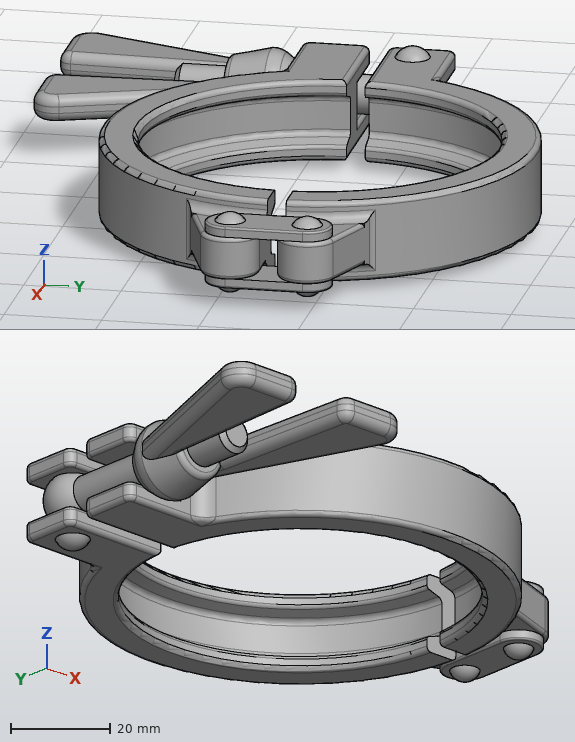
import cadquery as cq
import math


RING_OUTER_R = 44.5
BORE_R = 36.6
CLAMP_H = 17.0
HALF_H = CLAMP_H / 2
HALF_GAP = 1.9
RIM_FILLET = 1.1

GROOVE_R = 40.7
GROOVE_MOUTH_HALF = 5.3
GROOVE_ANGLE = 18
GROOVE_FLOOR_HALF = GROOVE_MOUTH_HALF - (GROOVE_R - BORE_R) * math.tan(math.radians(GROOVE_ANGLE))
GROOVE_FILLET = 1.4
LIP_FILLET = 0.8

EAR_X = -61.6
EAR_Y = 15.7
EAR_CORNER_R = 1.9
EAR_BLEND_R = 4.8
SLOT_HALF_H = 4.4
SLOT_EDGE_FILLET = 0.8

BOLT_X = -55.2
BOLT_D = 8.0
BOLT_END_Y = -40.5
BOLT_CHAMFER = 1.1
EYE_R = 6.0
EYE_CLEARANCE = 1.0
SLOT_END_X = BOLT_X + EYE_R + EYE_CLEARANCE
PIVOT_Y = 7.9
SHANK_D = 4.8
PIN_HEAD_D = 7.1
PIN_HEAD_H = 2.2

HINGE_X = 52.6
LUG_R = PIVOT_Y - HALF_GAP
LUG_HALF_H = 4.4
LUG_FILLET = 0.8
LUG_BLEND_R = 2.0
LUG_ROOT_X = 40.5
LUG_INNER_X = GROOVE_R - 1.4
LINK_R = 5.0
LINK_T = 2.0
LINK_FILLET = 0.4
RIVET_HEAD_D = 6.1
RIVET_UPPER_HEAD_H = 1.6
RIVET_LOWER_HEAD_H = 2.2

NUT_R = 8.3
NUT_END_R = 6.3
NUT_L = 14.2
NUT_CONE_START = 5.5
NUT_FACE_R = 5.6
NUT_NOSE_R = 7.5
NUT_NOSE_L = 2.6
NUT_END_FILLET = 1.4
WING_T = 5.5
WING_FILLET = 2.0
WING_TIP_Y = -66.0
WING_TOP_Y = -19.8
WING_OUTER_TOP = 7.7
WING_OUTER_TIP = 24.7
WING_INNER_TOP = 1.4
WING_INNER_EXIT = 4.8
WING_INNER_TIP = 6.1
WING_OUTER_CORNER_R = 4.4
WING_INNER_CORNER_R = 2.6

TOLERANCE = 0.01


def box(x0, x1, y0, y1, half_h):
    return cq.Workplane("XY").box(x1 - x0, y1 - y0, 2 * half_h, centered=False).translate((x0, y0, -half_h))


def cylinder(x, y, radius, half_h):
    return cq.Workplane("XY", origin=(x, y, 0)).circle(radius).extrude(half_h, both=True)


def near(x, y, z_half, reach=0.7):
    """Selector for edges centred close to (x, y) and no further than z_half from mid height."""
    return cq.selectors.BoxSelector((x - reach, y - reach, -z_half), (x + reach, y + reach, z_half))


def ring_and_ear():
    """Half ring with a solid ear: rims rounded, except where the ring ends at the hinge."""
    body = cylinder(0, 0, RING_OUTER_R, HALF_H).union(box(EAR_X, -BORE_R, 0, EAR_Y, HALF_H))
    body = body.cut(cylinder(0, 0, BORE_R, HALF_H))
    body = body.intersect(box(EAR_X, RING_OUTER_R, HALF_GAP, RING_OUTER_R, HALF_H))
    for corner_y in (HALF_GAP, EAR_Y):
        body = body.edges("|Z").edges(near(EAR_X, corner_y, HALF_H)).fillet(EAR_CORNER_R)
    rims = [
        edge for edge in body.faces("|Z").edges().vals()
        if edge.Center().x < BORE_R or edge.Center().y > HALF_GAP + RIM_FILLET
    ]
    body = body.newObject(rims).fillet(RIM_FILLET)
    blend_x = -math.sqrt(RING_OUTER_R**2 - EAR_Y**2)
    return body.edges("|Z").edges(near(blend_x, EAR_Y, HALF_H)).fillet(EAR_BLEND_R)


def groove_cutter():
    """Disc with tapered flanks, narrowing outwards."""
    profile = [
        (0, -GROOVE_MOUTH_HALF),
        (BORE_R, -GROOVE_MOUTH_HALF),
        (GROOVE_R, -GROOVE_FLOOR_HALF),
        (GROOVE_R, GROOVE_FLOOR_HALF),
        (BORE_R, GROOVE_MOUTH_HALF),
        (0, GROOVE_MOUTH_HALF),
    ]
    disc = cq.Workplane("XZ").polyline(profile).close().revolve(360, (0, 0, 0), (0, 1, 0))
    floor = cq.selectors.RadiusNthSelector(-1)
    return disc.edges("%CIRCLE").edges(floor).fillet(GROOVE_FILLET)


def cut_slot(body):
    """Slot for the eye bolt, open along the ear and at its outer end, with rounded rims."""
    body = body.cut(box(EAR_X, SLOT_END_X, 0, EAR_Y, SLOT_HALF_H))
    side_rims = [
        edge for edge in body.edges("not |Z").vals()
        if abs(abs(edge.Center().z) - SLOT_HALF_H) < TOLERANCE and edge.Center().x < SLOT_END_X - TOLERANCE
    ]
    end_rims = body.edges("|Z").edges(near(SLOT_END_X, EAR_Y, HALF_H)).vals()
    end_rims += body.edges("|Z").edges(near(SLOT_END_X, HALF_GAP, HALF_H)).vals()
    return body.newObject(side_rims + end_rims).fillet(SLOT_EDGE_FILLET)


def lug_outline(half_h):
    """Plate round one rivet, running back into the ring, of the given half height."""
    root_y = math.sqrt(RING_OUTER_R**2 - LUG_ROOT_X**2)
    dx = LUG_ROOT_X - HINGE_X
    dy = root_y - PIVOT_Y
    tangent_angle = math.atan2(dy, dx) - math.acos(LUG_R / math.hypot(dx, dy))
    tangent = (HINGE_X + LUG_R * math.cos(tangent_angle), PIVOT_Y + LUG_R * math.sin(tangent_angle))
    return (
        cq.Workplane("XY", origin=(0, 0, -half_h))
        .moveTo(LUG_INNER_X, HALF_GAP)
        .lineTo(HINGE_X, HALF_GAP)
        .threePointArc((HINGE_X + LUG_R, PIVOT_Y), tangent)
        .lineTo(LUG_ROOT_X, root_y)
        .lineTo(LUG_INNER_X, HALF_GAP)
        .close()
        .extrude(2 * half_h)
    )


def add_hinge_lug(body):
    """Lug blended into the outside of the ring, its free edges rounded."""
    lug = lug_outline(LUG_HALF_H)
    body = body.union(lug.cut(cylinder(0, 0, GROOVE_R, HALF_H)))
    seams = [
        edge for edge in body.edges().vals()
        if abs(edge.Center().z) < LUG_HALF_H + TOLERANCE
        and edge.Center().x > BORE_R
        and edge.Center().y > HALF_GAP + TOLERANCE
        and abs(math.hypot(*edge.positionAt(0.5).toTuple()[:2]) - RING_OUTER_R) < TOLERANCE
    ]
    body = body.newObject(seams).fillet(LUG_BLEND_R)
    edge_waste = lug.cut(lug.faces("|Z").edges().fillet(LUG_FILLET))
    return body.cut(edge_waste.cut(cylinder(0, 0, RING_OUTER_R + LUG_BLEND_R, HALF_H)))


def clamp_half():
    """Half of the clamp on the +Y side, with the rivet hole through its lug."""
    body = ring_and_ear().cut(groove_cutter())
    lips = [
        edge for edge in body.edges("%CIRCLE").vals()
        if abs(edge.radius() - BORE_R) < TOLERANCE and abs(edge.Center().z) < GROOVE_MOUTH_HALF + TOLERANCE
    ]
    body = body.newObject(lips).fillet(LIP_FILLET)
    return add_hinge_lug(cut_slot(body)).cut(cylinder(HINGE_X, PIVOT_Y, SHANK_D / 2, HALF_H))


def headed_pin(x, y, grip_half, head_d, upper_head_h, lower_head_h):
    """Shank along Z with a domed head at each end."""
    pin = cylinder(x, y, SHANK_D / 2, grip_half)
    for side, head_h in ((1, upper_head_h), (-1, lower_head_h)):
        dome_r = (head_d**2 / 4 + head_h**2) / (2 * head_h)
        dome = cq.Workplane("XY").sphere(dome_r).translate((x, y, side * (grip_half + head_h - dome_r)))
        head_space = cq.Workplane("XY", origin=(x, y, side * grip_half)).circle(dome_r).extrude(side * head_h)
        pin = pin.union(dome.intersect(head_space))
    return pin


def eye_bolt():
    """Bolt along -Y whose ball end is flattened to the slot and bored for the pin."""
    shaft = cq.Workplane("XZ", origin=(BOLT_X, PIVOT_Y, 0)).circle(BOLT_D / 2).extrude(PIVOT_Y - BOLT_END_Y)
    shaft = shaft.faces("<Y").chamfer(BOLT_CHAMFER)
    ball = cq.Workplane("XY", origin=(BOLT_X, PIVOT_Y, 0)).sphere(EYE_R)
    ball = ball.intersect(cylinder(BOLT_X, PIVOT_Y, EYE_R, SLOT_HALF_H))
    return shaft.union(ball).cut(cylinder(BOLT_X, PIVOT_Y, SHANK_D / 2, HALF_H))


def nut_wing(side):
    """Flat tapering wing with rounded edges; side is -1 for -X, 1 for +X."""
    def point(distance, y):
        return (BOLT_X + side * distance, y)

    outer_tip = point(WING_OUTER_TIP, WING_TIP_Y)
    inner_tip = point(WING_INNER_TIP, WING_TIP_Y)
    wing = (
        cq.Workplane("XY", origin=(0, 0, -WING_T / 2))
        .polyline([
            point(WING_OUTER_TOP, WING_TOP_Y),
            outer_tip,
            inner_tip,
            point(WING_INNER_EXIT, -EAR_Y - NUT_L),
            point(WING_INNER_TOP, WING_TOP_Y),
        ])
        .close()
        .extrude(WING_T)
    )
    wing = wing.edges("|Z").edges(near(*outer_tip, WING_T)).fillet(WING_OUTER_CORNER_R)
    wing = wing.edges("|Z").edges(near(*inner_tip, WING_T)).fillet(WING_INNER_CORNER_R)
    return wing.faces("|Z").edges().fillet(WING_FILLET)


def wing_nut():
    """Barrel-shaped nut on the bolt, bearing on the lower ear, with two wings."""
    barrel = (
        cq.Workplane("XY")
        .lineTo(NUT_FACE_R, 0)
        .lineTo(NUT_NOSE_R, -NUT_NOSE_L)
        .tangentArcPoint((NUT_R, -NUT_CONE_START), relative=False)
        .lineTo(NUT_END_R, -NUT_L)
        .lineTo(0, -NUT_L)
        .close()
        .revolve(360, (0, 0, 0), (0, 1, 0))
    )
    barrel = barrel.faces("<Y").edges().fillet(NUT_END_FILLET)
    nut = barrel.translate((BOLT_X, -EAR_Y, 0))
    for side in (-1, 1):
        nut = nut.union(nut_wing(side))
    bore = cq.Workplane("XZ", origin=(BOLT_X, 0, 0)).circle(BOLT_D / 2).extrude(-WING_TIP_Y)
    return nut.cut(bore)


def link_plate(base_z, outer_face):
    """Round-ended plate joining the two lugs, its outer rim rounded."""
    plate = (
        cq.Workplane("XY", origin=(HINGE_X, 0, base_z))
        .slot2D(2 * (PIVOT_Y + LINK_R), 2 * LINK_R, 90)
        .extrude(LINK_T)
    )
    plate = plate.faces(outer_face).edges().fillet(LINK_FILLET)
    for y in (-PIVOT_Y, PIVOT_Y):
        plate = plate.cut(cylinder(HINGE_X, y, SHANK_D / 2, HALF_H))
    return plate


half = clamp_half()
lower_half = half.mirror("XZ")
upper_half = half.cut(cylinder(BOLT_X, PIVOT_Y, SHANK_D / 2, HALF_H))
bolt = eye_bolt()
bolt_pin = headed_pin(BOLT_X, PIVOT_Y, HALF_H, PIN_HEAD_D, PIN_HEAD_H, PIN_HEAD_H)
nut = wing_nut()
links = [link_plate(LUG_HALF_H, ">Z"), link_plate(-LUG_HALF_H - LINK_T, "<Z")]
rivets = [
    headed_pin(HINGE_X, y, LUG_HALF_H + LINK_T, RIVET_HEAD_D, RIVET_UPPER_HEAD_H, RIVET_LOWER_HEAD_H)
    for y in (-PIVOT_Y, PIVOT_Y)
]

bodies = [upper_half, lower_half, bolt, bolt_pin, nut, *links, *rivets]
result = cq.Compound.makeCompound([body.val() for body in bodies])